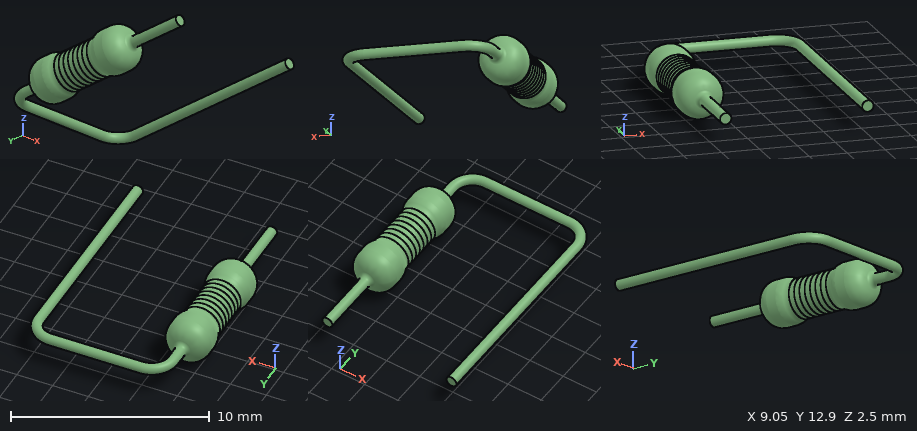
import cadquery as cq
import math

overall_length = 12.9
lead_pitch = 7.5
lead_radius = 0.6 / 2
bend_radius = 1.2

body_center_y = 6.99
cap_radius = 2.5 / 2
core_radius = 2.13 / 2
band_radius = 2.14 / 2
band_count = 4
core_length = 2.41
band_width = core_length / (2 * band_count - 1)

core_half_length = core_length / 2
cap_inner = 1.94
cap_outer = 2.53
dome_radius = 0.88
dome_fillet_radius = 0.26

flare_mid = ((core_radius + cap_radius) / 2, (core_half_length + cap_inner) / 2)
flare_length = cap_inner - core_half_length
flare_rise = cap_radius - core_radius
flare_radius = (flare_length**2 + flare_rise**2) / (4 * flare_rise)

dome_center = (cap_radius - dome_radius, cap_outer)
fillet_center_r = lead_radius + dome_fillet_radius
fillet_offset_r = fillet_center_r - dome_center[0]
center_distance = dome_radius + dome_fillet_radius
fillet_center = (fillet_center_r, cap_outer + math.sqrt(center_distance**2 - fillet_offset_r**2))
dome_end_angle = math.atan2(fillet_center[1] - dome_center[1], fillet_offset_r)


def arc_point(center, radius, angle):
    return (center[0] + radius * math.cos(angle), center[1] + radius * math.sin(angle))


def make_cap():
    """Revolve the +Y cap, from the end of the core to the lead, with the body centre at the origin."""
    fillet_mid_angle = math.pi + dome_end_angle / 2
    profile = (
        cq.Workplane("XY")
        .moveTo(0, core_half_length)
        .lineTo(core_radius, core_half_length)
        .radiusArc(flare_mid, flare_radius)
        .radiusArc((cap_radius, cap_inner), -flare_radius)
        .lineTo(cap_radius, cap_outer)
        .threePointArc(
            arc_point(dome_center, dome_radius, dome_end_angle / 2),
            arc_point(dome_center, dome_radius, dome_end_angle),
        )
        .threePointArc(
            arc_point(fillet_center, dome_fillet_radius, fillet_mid_angle),
            (lead_radius, fillet_center[1]),
        )
        .lineTo(0, fillet_center[1])
        .close()
    )
    return profile.revolve(360, (0, 0), (0, 1))


def make_body():
    cap = make_cap()
    core = cq.Workplane("XZ").circle(core_radius).extrude(core_half_length, both=True)
    body = core.union(cap).union(cap.mirror("XZ"))
    for index in range(band_count):
        band_start = -core_half_length + 2 * index * band_width
        band = cq.Workplane("XZ", origin=(0, band_start, 0)).circle(band_radius).extrude(-band_width)
        body = body.union(band)
    return body.translate((0, body_center_y, 0))


def make_lead():
    """One round wire: +Y through the body, across in X, and back to Y = 0."""
    top_y = overall_length - lead_radius
    bend_y = top_y - bend_radius
    bend_mid = bend_radius * (1 - math.sqrt(0.5))
    path = (
        cq.Workplane("XY")
        .lineTo(0, bend_y)
        .threePointArc((bend_mid, top_y - bend_mid), (bend_radius, top_y))
        .lineTo(lead_pitch - bend_radius, top_y)
        .threePointArc((lead_pitch - bend_mid, top_y - bend_mid), (lead_pitch, bend_y))
        .lineTo(lead_pitch, 0)
    )
    return cq.Workplane("XZ").circle(lead_radius).sweep(path)


result = make_body().union(make_lead())